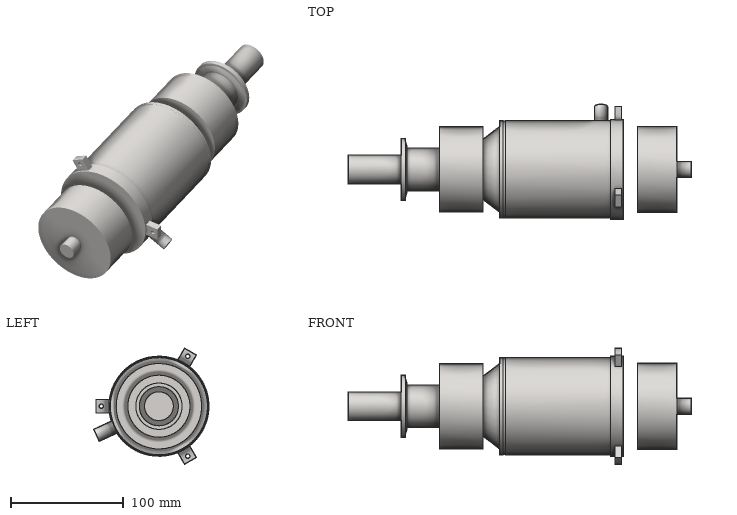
import cadquery as cq
import math

ROD_TIP_X = 0.0
FLANGE_FRONT_X = 46.8
FLANGE_THICKNESS = 4.0
FLANGE_HUB_X = 52.3
BLOCK_FRONT_X = 80.8
BLOCK_BACK_X = 119.5
BARREL_FRONT_X = 134.0
GROOVE_FRONT_X = 137.0
GROOVE_BACK_X = 139.2
COLLAR_FRONT_X = 232.5
COLLAR_BACK_X = 243.7
END_CAP_FRONT_X = 256.2
END_CAP_BACK_X = 291.0
PIN_TIP_X = 304.0

ROD_DIAMETER = 25.5
FLANGE_DIAMETER = 55.0
FLANGE_HUB_DIAMETER = 39.2
FLANGE_TAPER_DIAMETER = 49.8
TUBE_DIAMETER = 38.0
TUBE_BORE_DIAMETER = 34.5
FLANGE_RECESS_DIAMETER = 41.0
BLOCK_DIAMETER = 75.7
CONE_SMALL_DIAMETER = 53.5
CONE_LARGE_DIAMETER = 75.7
BARREL_RIM_DIAMETER = 86.3
GROOVE_DIAMETER = 86.0
BARREL_DIAMETER = 86.5
COLLAR_DIAMETER = 88.7
END_CAP_DIAMETER = 76.3
PIN_DIAMETER = 14.3

FLANGE_RECESS_DEPTH = 2.5

LUG_COUNT = 3
LUG_FRONT_X = 236.0
LUG_THICKNESS = 6.0
LUG_WIDTH = 12.2
LUG_REACH = 56.0
LUG_EMBED = 6.0
LUG_HOLE_DIAMETER = 3.5
LUG_HOLE_RADIUS = 51.0

PORT_X = 224.0
PORT_DIAMETER = 12.0
PORT_REACH = 61.0
PORT_ANGLE = 25.0


def cylinder(start_x, end_x, diameter):
    """Solid cylinder on the X axis."""
    return cq.Workplane("YZ", origin=(start_x, 0, 0)).circle(diameter / 2).extrude(end_x - start_x)


def taper(start_x, end_x, start_diameter, end_diameter):
    """Solid truncated cone on the X axis."""
    profile = [
        (start_x, 0),
        (start_x, start_diameter / 2),
        (end_x, end_diameter / 2),
        (end_x, 0),
    ]
    return cq.Workplane("XY").polyline(profile).close().revolve(360, (0, 0, 0), (1, 0, 0))


def make_nose():
    """Flanged tube with a central rod standing in its open bore."""
    flange_back_x = FLANGE_FRONT_X + FLANGE_THICKNESS
    recess_back_x = FLANGE_FRONT_X + FLANGE_RECESS_DEPTH
    nose = cylinder(FLANGE_FRONT_X, flange_back_x, FLANGE_DIAMETER)
    nose = nose.union(taper(flange_back_x, FLANGE_HUB_X, FLANGE_TAPER_DIAMETER, FLANGE_HUB_DIAMETER))
    nose = nose.union(cylinder(flange_back_x, BLOCK_FRONT_X, TUBE_DIAMETER))
    nose = nose.cut(cylinder(FLANGE_FRONT_X, recess_back_x, FLANGE_RECESS_DIAMETER))
    nose = nose.cut(cylinder(FLANGE_FRONT_X, BLOCK_FRONT_X, TUBE_BORE_DIAMETER))
    return nose.union(cylinder(ROD_TIP_X, BLOCK_BACK_X, ROD_DIAMETER))


def make_barrel():
    """Front block, cone, grooved barrel and rear collar."""
    barrel = cylinder(BLOCK_FRONT_X, BLOCK_BACK_X, BLOCK_DIAMETER)
    barrel = barrel.union(taper(BLOCK_BACK_X, BARREL_FRONT_X, CONE_SMALL_DIAMETER, CONE_LARGE_DIAMETER))
    barrel = barrel.union(cylinder(BARREL_FRONT_X, GROOVE_FRONT_X, BARREL_RIM_DIAMETER))
    barrel = barrel.union(cylinder(GROOVE_FRONT_X, GROOVE_BACK_X, GROOVE_DIAMETER))
    barrel = barrel.union(cylinder(GROOVE_BACK_X, COLLAR_FRONT_X, BARREL_DIAMETER))
    return barrel.union(cylinder(COLLAR_FRONT_X, COLLAR_BACK_X, COLLAR_DIAMETER))


def make_lug(angle):
    """Drilled lug that starts inside the collar, turned about X from +Y."""
    root_radius = COLLAR_DIAMETER / 2 - LUG_EMBED
    plane = cq.Workplane("YZ", origin=(LUG_FRONT_X, 0, 0))
    lug = plane.center((root_radius + LUG_REACH) / 2, 0).rect(LUG_REACH - root_radius, LUG_WIDTH)
    lug = lug.extrude(LUG_THICKNESS)
    hole = plane.center(LUG_HOLE_RADIUS, 0).circle(LUG_HOLE_DIAMETER / 2).extrude(LUG_THICKNESS)
    return lug.cut(hole).rotate((0, 0, 0), (1, 0, 0), angle)


def make_port():
    """Round side port that runs out from the barrel axis."""
    lean = math.radians(PORT_ANGLE)
    direction = cq.Vector(0, math.cos(lean), -math.sin(lean))
    base = cq.Vector(PORT_X, 0, 0)
    return cq.Workplane(cq.Solid.makeCylinder(PORT_DIAMETER / 2, PORT_REACH, base, direction))


def make_housing():
    """Main body: nose, barrel, side port and lugs in one solid."""
    housing = make_barrel().union(make_nose()).union(make_port())
    for index in range(LUG_COUNT):
        housing = housing.union(make_lug(index * 360 / LUG_COUNT))
    return housing


def make_end_cap():
    """Separate rear cylinder with its central pin."""
    end_cap = cylinder(END_CAP_FRONT_X, END_CAP_BACK_X, END_CAP_DIAMETER)
    return end_cap.union(cylinder(END_CAP_BACK_X, PIN_TIP_X, PIN_DIAMETER))


housing = make_housing()
end_cap = make_end_cap()

result = cq.Compound.makeCompound([housing.val(), end_cap.val()])